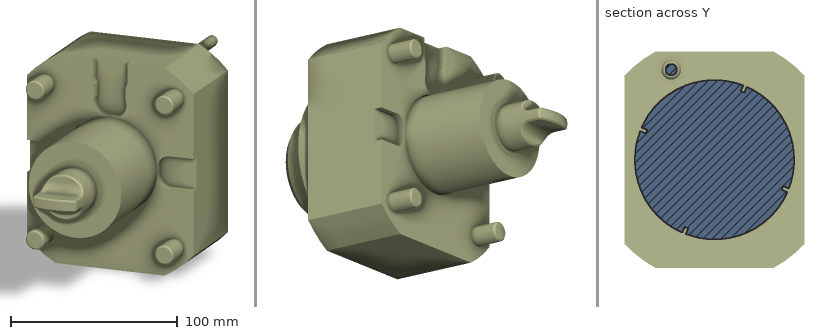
import cadquery as cq
import math


overall_length = 189.7

tool_clearance = 1.9

block_width = 108.0
block_height = 130.0
block_depth = 55.0
block_corner_radius = 74.0

embedded_end_y = block_depth / 2

flange_diameter = 96.0
flange_thickness = 12.0
nose_diameter = 65.0
nose_length = 24.5
nose_chamfer_length = 5.1
nose_chamfer_radial = 4.7
pin_hole_diameter = 2.0
pin_hole_depth = 3.8
pin_hole_count = 4
pin_hole_first_angle = 22.5

sleeve_diameter = 60.0
sleeve_length = 55.5
sleeve_groove_diameter = 61.3
sleeve_groove_depth = 5.3
collar_diameter = 34.0
collar_length = 0.4

shaft_diameter = 28.5
tip_y = -91.2
tongue_thickness = 7.4
tongue_root_radius = 6.3
tongue_root_y = -73.2
tongue_end_radius = 37.0
tongue_chamfer = 1.0

bolt_diameter = 12.0
bolt_length = 17.3
bolt_chamfer = 1.0
bolt_spacing_x = 83.8
bolt_spacing_z = 93.7

cutter_radius = 8.0
slot_end_distance = 30.7
side_slot_width = 20.1
side_slot_depth = 5.3
top_slot_width = 20.1
top_slot_depth = 6.0
top_slot_mouth_width = 22.4
top_slot_mouth_end = 49.7
top_slot_corner_offset = 2.7

cable_x = 26.0
cable_z = 54.0
cable_diameter = 7.0
cable_end_y = overall_length + tip_y
cable_end_bevel = 3.0
gland_diameter = 12.0
gland_length = 4.0


def cylinder_along_y(diameter, y_start, y_end, x=0.0, z=0.0):
    """Cylinder parallel to Y between two Y positions."""
    axis_start = cq.Vector(x, y_start, z)
    axis = cq.Vector(0, 1, 0)
    return cq.Workplane(obj=cq.Solid.makeCylinder(diameter / 2, y_end - y_start, axis_start, axis))


def box_between(x_range, y_range, z_range):
    """Axis-aligned box given by its limits on each axis."""
    sizes = [high - low for low, high in (x_range, y_range, z_range)]
    corner = (x_range[0], y_range[0], z_range[0])
    return cq.Workplane("XY").box(*sizes, centered=False).translate(corner)


def make_block():
    """Rectangular housing whose four corners are turned about the spindle axis."""
    block = box_between(
        (-block_width / 2, block_width / 2),
        (0, block_depth),
        (-block_height / 2, block_height / 2),
    )
    return block.intersect(cylinder_along_y(2 * block_corner_radius, 0, block_depth))


def make_flange_and_nose():
    flange_end = block_depth + flange_thickness
    nose_end = flange_end + nose_length
    body = cylinder_along_y(flange_diameter, block_depth, flange_end)
    nose = cylinder_along_y(nose_diameter, flange_end, nose_end)
    nose = nose.faces(">Y").chamfer(nose_chamfer_length, nose_chamfer_radial)
    hole_y = block_depth + flange_thickness / 2
    for index in range(pin_hole_count):
        angle = math.radians(pin_hole_first_angle + index * 360 / pin_hole_count)
        outward = cq.Vector(-math.sin(angle), 0, math.cos(angle))
        bottom = outward * (flange_diameter / 2 - pin_hole_depth) + cq.Vector(0, hole_y, 0)
        hole = cq.Solid.makeCylinder(pin_hole_diameter / 2, 2 * pin_hole_depth, bottom, outward)
        body = body.cut(cq.Workplane(obj=hole))
    return body.union(nose)


def make_sleeve():
    sleeve = cylinder_along_y(sleeve_diameter, -sleeve_length, embedded_end_y)
    collar = cylinder_along_y(collar_diameter, -sleeve_length - collar_length, -sleeve_length)
    return sleeve.union(collar)


def make_shaft():
    """Shaft milled from above and below to leave a tongue with a bowed, chamfered end."""
    shaft = cylinder_along_y(shaft_diameter, tip_y, -sleeve_length)
    shaft = shaft.intersect(
        cq.Workplane("XY", origin=(0, tip_y + tongue_end_radius, -shaft_diameter))
        .circle(tongue_end_radius)
        .extrude(2 * shaft_diameter)
    )
    flat_z = tongue_thickness / 2
    root_y = tongue_root_y
    arc_mid_offset = tongue_root_radius * (1 - math.sqrt(0.5))
    relief = (
        cq.Workplane("YZ", origin=(-shaft_diameter, 0, 0))
        .moveTo(tip_y - tool_clearance, flat_z)
        .lineTo(root_y - tongue_root_radius, flat_z)
        .threePointArc(
            (root_y - arc_mid_offset, flat_z + arc_mid_offset),
            (root_y, flat_z + tongue_root_radius),
        )
        .lineTo(root_y, shaft_diameter)
        .lineTo(tip_y - tool_clearance, shaft_diameter)
        .close()
        .extrude(2 * shaft_diameter)
    )
    shaft = shaft.cut(relief).cut(relief.mirror("XY"))
    milled_region = cq.selectors.BoxSelector(
        (-shaft_diameter, tip_y - tool_clearance, -shaft_diameter),
        (shaft_diameter, root_y + tongue_chamfer, shaft_diameter),
    )
    return shaft.edges(milled_region).edges("not |X").chamfer(tongue_chamfer)


def make_bolts():
    bolts = cq.Workplane()
    for x in (-bolt_spacing_x / 2, bolt_spacing_x / 2):
        for z in (-bolt_spacing_z / 2, bolt_spacing_z / 2):
            bolt = cylinder_along_y(bolt_diameter, -bolt_length, embedded_end_y, x, z)
            bolts = bolts.add(bolt.faces("<Y").chamfer(bolt_chamfer))
    return bolts.combine()


def make_side_slots():
    """Slots open at the left and right sides, with rounded inner corners."""
    slot = box_between(
        (slot_end_distance, block_width),
        (-tool_clearance, side_slot_depth),
        (-side_slot_width / 2, side_slot_width / 2),
    )
    slot = slot.edges("|Y and <X").fillet(cutter_radius)
    return slot.union(slot.mirror("YZ"))


def make_top_slot():
    """Slot open at the top: a wider mouth, a narrower neck and bulging inner corners."""
    corner_z = slot_end_distance + cutter_radius
    neck = box_between(
        (-top_slot_width / 2, top_slot_width / 2),
        (-tool_clearance, top_slot_depth),
        (corner_z, block_height),
    )
    end_flat = box_between(
        (-top_slot_corner_offset, top_slot_corner_offset),
        (-tool_clearance, top_slot_depth),
        (slot_end_distance, corner_z),
    )
    mouth_step = (top_slot_mouth_width - top_slot_width) / 2
    mouth_arc_rise = math.sqrt(cutter_radius**2 - (cutter_radius - mouth_step) ** 2)
    mouth_z = top_slot_mouth_end + mouth_arc_rise
    mouth = box_between(
        (-top_slot_mouth_width / 2, top_slot_mouth_width / 2),
        (-tool_clearance, top_slot_depth),
        (mouth_z, block_height),
    )
    slot = neck.union(end_flat).union(mouth)
    mouth_arc_x = top_slot_mouth_width / 2 - cutter_radius
    for side in (-1, 1):
        for x, z in ((top_slot_corner_offset, corner_z), (mouth_arc_x, mouth_z)):
            corner = cylinder_along_y(2 * cutter_radius, -tool_clearance, top_slot_depth, side * x, z)
            slot = slot.union(corner)
    return slot


def make_cable():
    """Cable with a bevelled end, leaving the block through a domed gland."""
    cable = cylinder_along_y(cable_diameter, block_depth, cable_end_y, cable_x, cable_z)
    cable_bottom = cable_z - cable_diameter / 2
    bevel = (
        cq.Workplane("YZ", origin=(cable_x - cable_diameter, 0, 0))
        .moveTo(cable_end_y - cable_end_bevel, cable_bottom)
        .lineTo(cable_end_y, cable_bottom)
        .lineTo(cable_end_y, cable_bottom + cable_end_bevel)
        .close()
        .extrude(2 * cable_diameter)
    )
    dome = cq.Workplane("XY").sphere(gland_diameter / 2).translate((cable_x, block_depth, cable_z))
    gland_end = block_depth + gland_length
    gland_limit = cylinder_along_y(2 * gland_diameter, block_depth, gland_end, cable_x, cable_z)
    return cable.cut(bevel).union(dome.intersect(gland_limit))


sleeve_groove = cylinder_along_y(sleeve_groove_diameter, 0, sleeve_groove_depth)
housing = make_block().cut(sleeve_groove).cut(make_side_slots()).cut(make_top_slot())

result = (
    housing.union(make_flange_and_nose())
    .union(make_sleeve())
    .union(make_shaft())
    .union(make_bolts())
    .union(make_cable())
)